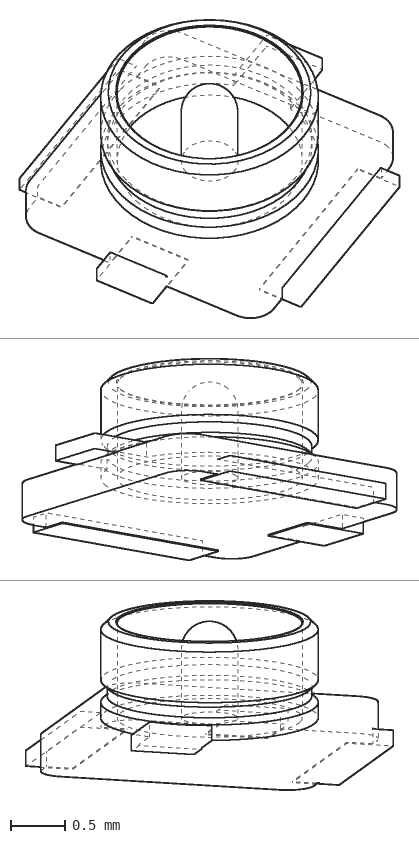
import cadquery as cq

base_side = 2.6
base_corner_radius = 0.25
base_bottom = 0.01
base_top = 0.36
base_edge_fillet = 0.01

overall_height = 1.26
ring_radius = 1.0
bore_radius = 0.85
bore_chamfer = 0.01
rim_chamfer = 0.07
groove_depth = 0.06
groove_lower_edge = 0.505
groove_flank_height = 0.055
groove_floor_width = 0.1

pin_radius = 0.26

lug_thickness = 0.15
lug_fillet = 0.01
narrow_width = 0.6
side_lug_length = 1.8
side_lug_reach = 1.5
end_reach = 1.55
side_lug_overlap = 0.25
signal_lug_overlap = 0.4
joint_fillet = 0.01
tab_bottom = 0.35


def make_lug(x_range, y_range, bottom):
    """Plate with rounded upright and top edges, given by its limits in X and Y and its underside."""
    return (
        cq.Workplane("XY")
        .box(
            x_range[1] - x_range[0],
            y_range[1] - y_range[0],
            lug_thickness,
            centered=False,
        )
        .edges("|Z or >Z")
        .fillet(lug_fillet)
        .translate((x_range[0], y_range[0], bottom))
    )


def make_base():
    return (
        cq.Workplane("XY")
        .workplane(offset=base_bottom)
        .rect(base_side, base_side)
        .extrude(base_top - base_bottom)
        .edges("|Z")
        .fillet(base_corner_radius)
        .faces(">Z")
        .edges()
        .fillet(base_edge_fillet)
    )


def make_ring():
    """Revolved ring with a chamfered rim and a snap groove with sloped sides."""
    groove_radius = ring_radius - groove_depth
    groove_floor_bottom = groove_lower_edge + groove_flank_height
    groove_floor_top = groove_floor_bottom + groove_floor_width
    profile = [
        (bore_radius, base_top),
        (ring_radius, base_top),
        (ring_radius, groove_lower_edge),
        (groove_radius, groove_floor_bottom),
        (groove_radius, groove_floor_top),
        (ring_radius, groove_floor_top + groove_flank_height),
        (ring_radius, overall_height - rim_chamfer),
        (ring_radius - rim_chamfer, overall_height),
        (bore_radius + bore_chamfer, overall_height),
        (bore_radius, overall_height - bore_chamfer),
    ]
    return cq.Workplane("XZ").polyline(profile).close().revolve(360, (0, 0), (0, 1))


def make_pin():
    """Cylinder ending in a hemisphere level with the ring rim."""
    shoulder = overall_height - pin_radius
    return (
        cq.Workplane("XZ")
        .moveTo(0, base_top)
        .lineTo(pin_radius, base_top)
        .lineTo(pin_radius, shoulder)
        .radiusArc((0, overall_height), -pin_radius)
        .close()
        .revolve(360, (0, 0), (0, 1))
    )


def make_side_lug(side):
    """Long ground lug on the -X (side = -1) or +X (side = 1) edge."""
    inner = base_side / 2 - side_lug_overlap
    x_range = sorted((side * inner, side * side_lug_reach))
    half_length = side_lug_length / 2
    return make_lug(x_range, (-half_length, half_length), 0)


def make_signal_lug():
    """Short lug at the bottom of the -Y edge."""
    half_width = narrow_width / 2
    inner = signal_lug_overlap - base_side / 2
    return make_lug((-half_width, half_width), (-end_reach, inner), 0)


def make_contact_tab():
    """Tab lying on the plate from the ring wall out past the +Y edge."""
    half_width = narrow_width / 2
    inner = (ring_radius + bore_radius) / 2
    return make_lug((-half_width, half_width), (inner, end_reach), tab_bottom)


def make_signal_lug_joint():
    """Concave fillet in the upright corner between the plate edge and the +X side of the signal lug."""
    return (
        cq.Workplane("XY")
        .workplane(offset=base_bottom)
        .moveTo(narrow_width / 2, -base_side / 2)
        .lineTo(narrow_width / 2, -base_side / 2 - joint_fillet)
        .radiusArc((narrow_width / 2 + joint_fillet, -base_side / 2), joint_fillet)
        .close()
        .extrude(lug_thickness - lug_fillet - base_bottom)
    )


def fillet_side_lug_joint(body):
    """Round the corner where the sides and top of the -X lug meet the plate edge."""
    reach = side_lug_length / 2 + joint_fillet
    joint_zone = cq.selectors.BoxSelector(
        (-base_side / 2 - joint_fillet / 2, -reach, base_bottom + joint_fillet / 2),
        (-base_side / 2 + joint_fillet / 2, reach, lug_thickness + joint_fillet),
    )
    return body.edges(joint_zone).fillet(joint_fillet)


result = make_base()
for side in (-1, 1):
    result = result.union(make_side_lug(side))
result = fillet_side_lug_joint(result)
result = result.union(make_signal_lug()).union(make_signal_lug_joint())
result = result.union(make_ring()).union(make_pin()).union(make_contact_tab())